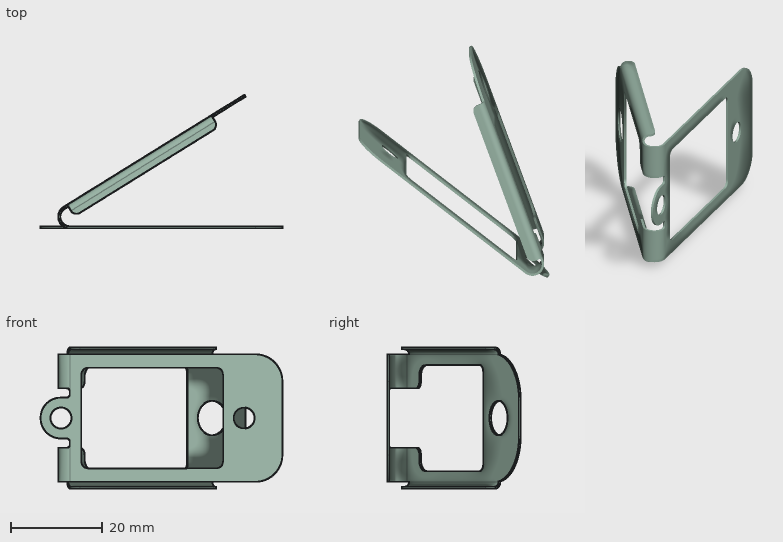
import cadquery as cq
import math


length = 53.0
height = 29.25
overall_width = 31.0
sheet_width = 28.0
thickness = 0.5

tab_radius = 4.5
tab_reach = 6.4
tab_center_x = tab_radius - tab_reach
plate_end_x = length - tab_reach
plate_corner_radius = 6.0
small_hole_radius = 2.3
plate_hole_x = 38.15
plate_window_start = 2.55
plate_window_end = 33.55
plate_window_width = 22.0
plate_window_radius = 1.5

hinge_radius = 2.55
opening_width = 12.95
notch_radius = 0.65

slope = math.radians(31.8)
slope_cos = math.cos(slope)
slope_sin = math.sin(slope)
arm_start_x = -hinge_radius * slope_sin
arm_start_y = hinge_radius * (1 + slope_cos)
arm_length = (height - arm_start_y) / slope_sin
arm_tip_radius = 10.0
arm_hole_center = 38.05
arm_hole_radius = 3.75
arm_window_start = 5.15
arm_window_end = 31.7
arm_window_width = 23.2
arm_window_near_radius = 2.5
arm_window_far_radius = 1.5
opening_lip_radius = 1.5

flange_start = 0.9
flange_end = arm_hole_center
flange_depth = 3.0
flange_bend_radius = (overall_width - sheet_width) / 2
flange_corner_radius = 1.45
flange_overlap = 0.55

cut_margin = 0.55

arm_plane = cq.Plane(
    origin=(arm_start_x, arm_start_y, 0),
    xDir=(slope_cos, slope_sin, 0),
    normal=(-slope_sin, slope_cos, 0),
)


def upright_block(x_start, x_end, width, depth):
    """Block on Y = 0, centred on Z = 0, reaching to Y = depth."""
    return (
        cq.Workplane("XY")
        .box(x_end - x_start, depth, width, centered=(False, False, True))
        .translate((x_start, 0, 0))
    )


def upright_cylinder(x_center, radius):
    """Disc through the plate thickness."""
    return cq.Workplane("XZ").center(x_center, 0).circle(radius).extrude(-thickness)


def sloped_block(start, end, width):
    """Block through the arm thickness, placed along the slope."""
    return (
        cq.Workplane(arm_plane)
        .center((start + end) / 2, 0)
        .rect(end - start, width)
        .extrude(-thickness)
    )


def make_plate():
    body = upright_block(0, plate_end_x, sheet_width, thickness)
    body = body.edges("|Y and >X").fillet(plate_corner_radius)
    neck = upright_block(tab_center_x, cut_margin, 2 * tab_radius, thickness)
    body = body.union(neck)
    root_corners = cq.selectors.BoxSelector(
        (-cut_margin, -cut_margin, -tab_radius - cut_margin),
        (cut_margin, thickness + cut_margin, tab_radius + cut_margin),
    )
    body = body.edges("|Y").edges(root_corners).fillet(notch_radius)
    body = body.union(upright_cylinder(tab_center_x, tab_radius))

    window = upright_block(plate_window_start, plate_window_end, plate_window_width, thickness)
    body = body.cut(window.edges("|Y").fillet(plate_window_radius))
    for hole_x in (tab_center_x, plate_hole_x):
        body = body.cut(upright_cylinder(hole_x, small_hole_radius))
    return body


def make_hinge():
    inner_radius = hinge_radius - thickness
    mid_angle = (math.pi - slope) / 2
    end_angle = math.pi - slope

    def arc_point(radius, angle):
        """Point at an angle from the bottom of the roll, turning toward -X."""
        return (-radius * math.sin(angle), hinge_radius - radius * math.cos(angle))

    roll = (
        cq.Workplane("XY")
        .moveTo(*arc_point(hinge_radius, 0))
        .threePointArc(arc_point(hinge_radius, mid_angle), arc_point(hinge_radius, end_angle))
        .lineTo(*arc_point(inner_radius, end_angle))
        .threePointArc(arc_point(inner_radius, mid_angle), arc_point(inner_radius, 0))
        .close()
        .extrude(sheet_width / 2, both=True)
    )
    opening_start = -hinge_radius - cut_margin
    lower_opening = upright_block(opening_start, 0, opening_width, hinge_radius)
    lower_opening = lower_opening.edges("|Y and >X").fillet(notch_radius)
    upper_opening = upright_block(opening_start, cut_margin, opening_width, hinge_radius)
    upper_opening = upper_opening.translate((0, hinge_radius, 0))
    return roll.cut(lower_opening).cut(upper_opening)


def make_arm():
    across_sheet = cq.selectors.ParallelDirSelector(arm_plane.zDir)
    toward_tip = cq.selectors.DirectionMinMaxSelector(arm_plane.xDir, True)
    toward_hinge = cq.selectors.DirectionMinMaxSelector(arm_plane.xDir, False)

    body = sloped_block(0, arm_length, sheet_width)
    body = body.edges(across_sheet).edges(toward_tip).fillet(arm_tip_radius)

    window = sloped_block(arm_window_start, arm_window_end, arm_window_width)
    window = window.edges(across_sheet).edges(toward_tip).fillet(arm_window_far_radius)
    window = window.edges(across_sheet).edges(toward_hinge).fillet(arm_window_near_radius)
    opening = sloped_block(-cut_margin, arm_window_start + cut_margin, opening_width)
    window = window.union(opening)
    for side in (-1, 1):
        lip = arm_plane.toWorldCoords((arm_window_start, side * opening_width / 2, -thickness / 2))
        nearest = cq.selectors.NearestToPointSelector(lip.toTuple())
        window = window.edges(across_sheet).edges(nearest).fillet(opening_lip_radius)

    hole = cq.Workplane(arm_plane).center(arm_hole_center, 0).circle(arm_hole_radius).extrude(-thickness)
    return body.cut(window).cut(hole)


def make_flange():
    """Flange on the -Z side, turned toward the plate and lapped into the arm."""
    section_origin = arm_plane.toWorldCoords((flange_start, 0, 0))
    section_plane = cq.Plane(origin=section_origin, xDir=(0, 0, -1), normal=arm_plane.xDir)
    edge = sheet_width / 2
    inner_radius = flange_bend_radius - thickness
    diagonal = math.sqrt(0.5)
    bend_center_y = -flange_bend_radius
    outside = overall_width / 2
    flange = (
        cq.Workplane(section_plane)
        .moveTo(edge - flange_overlap, 0)
        .lineTo(edge, 0)
        .threePointArc(
            (edge + flange_bend_radius * diagonal, bend_center_y + flange_bend_radius * diagonal),
            (outside, bend_center_y),
        )
        .lineTo(outside, -flange_depth)
        .lineTo(outside - thickness, -flange_depth)
        .lineTo(outside - thickness, bend_center_y)
        .threePointArc(
            (edge + inner_radius * diagonal, bend_center_y + inner_radius * diagonal),
            (edge, -thickness),
        )
        .lineTo(edge - flange_overlap, -thickness)
        .close()
        .extrude(flange_end - flange_start)
    )
    return flange.edges("|Z").edges("<Z").fillet(flange_corner_radius)


flange = make_flange()
result = make_plate().union(make_hinge()).union(make_arm())
result = result.union(flange).union(flange.mirror("XY"))